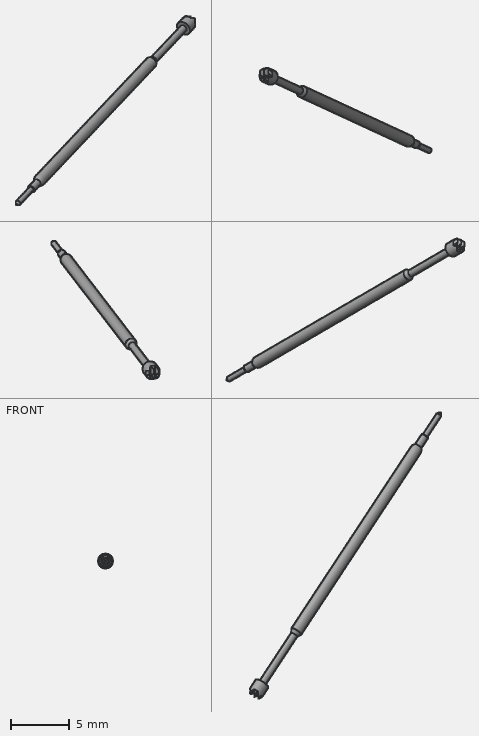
import cadquery as cq
import math


total_length = 30.0
head_end_y = total_length / 2
tail_end_y = -total_length / 2

head_radius = 0.65
head_length = 1.3
head_dome_length = 0.51
head_tip_radius = 0.52
teeth_per_row = 3
tooth_pitch = 0.41
groove_angle = 60.0
groove_depth = tooth_pitch / 2 / math.tan(math.radians(groove_angle / 2))

stem_radius = 0.32
stem_length = 5.15

barrel_radius = 0.51
front_cone_length = 0.36
rear_round_start_y = tail_end_y + 3.96
rear_round_length = 0.39

collar_radius = 0.335
collar_end_y = tail_end_y + 2.5
pin_radius = 0.24
pin_tip_radius = 0.08
pin_tip_length = 0.24


def make_turned_body():
    """Revolve the half-profile (radius, y) of the whole probe about the Y axis."""
    head_base_y = head_end_y - head_length
    barrel_front_y = head_base_y - stem_length
    dome_inset = head_radius - head_tip_radius
    dome_radius = (dome_inset**2 + head_dome_length**2) / (2 * dome_inset)
    dome_half_sweep = math.asin(head_dome_length / dome_radius) / 2
    dome_middle = (
        head_radius - dome_radius * (1 - math.cos(dome_half_sweep)),
        head_end_y - head_dome_length + dome_radius * math.sin(dome_half_sweep),
    )
    rear_round_end_y = rear_round_start_y - rear_round_length
    profile = (
        cq.Workplane("XY")
        .moveTo(0, head_end_y)
        .lineTo(head_tip_radius, head_end_y)
        .threePointArc(dome_middle, (head_radius, head_end_y - head_dome_length))
        .lineTo(head_radius, head_base_y)
        .lineTo(stem_radius, head_base_y)
        .lineTo(stem_radius, barrel_front_y)
        .lineTo(barrel_radius, barrel_front_y - front_cone_length)
        .lineTo(barrel_radius, rear_round_start_y)
        .tangentArcPoint((collar_radius, rear_round_end_y), relative=False)
        .lineTo(collar_radius, collar_end_y)
        .lineTo(pin_radius, collar_end_y)
        .lineTo(pin_radius, tail_end_y + pin_tip_length)
        .lineTo(pin_tip_radius, tail_end_y)
        .lineTo(0, tail_end_y)
        .close()
    )
    return profile.revolve(360, (0, 0, 0), (0, 1, 0))


def make_groove(offset):
    """V-groove across the head end, running along Z, with its root at X = offset."""
    return (
        cq.Workplane("XY")
        .moveTo(offset - tooth_pitch / 2, head_end_y)
        .lineTo(offset, head_end_y - groove_depth)
        .lineTo(offset + tooth_pitch / 2, head_end_y)
        .close()
        .extrude(head_radius, both=True)
    )


def cut_serrations(body):
    """Cut two crossing sets of grooves, leaving a square grid of pointed teeth."""
    for index in range(teeth_per_row + 1):
        groove = make_groove((index - teeth_per_row / 2) * tooth_pitch)
        body = body.cut(groove)
        body = body.cut(groove.rotate((0, 0, 0), (0, 1, 0), 90))
    return body


result = cut_serrations(make_turned_body())